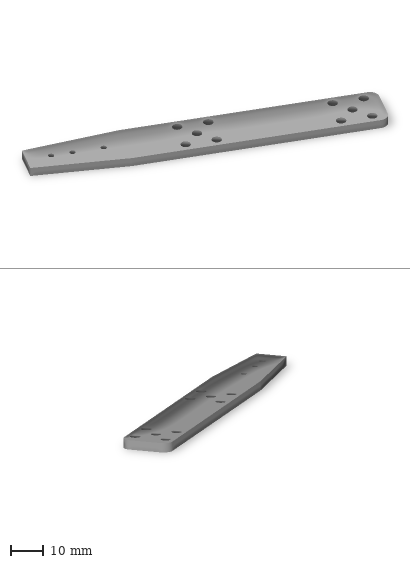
import cadquery as cq

length = 115.0
width = 16.0
thickness = 3.0
corner_radius = 3.0

taper_length = 32.0
tip_width = 10.0

pattern_hole_diameter = 3.2
pattern_pitch = 10.0
pattern_distances_from_square_end = [10.0, 60.0]

small_hole_diameter = 2.0
small_hole_distances_from_tip = [8.0, 15.0, 25.0]

square_end_y = length / 2
tip_y = -length / 2
taper_start_y = tip_y + taper_length


def make_bar():
    outline = [
        (-tip_width / 2, tip_y),
        (tip_width / 2, tip_y),
        (width / 2, taper_start_y),
        (width / 2, square_end_y),
        (-width / 2, square_end_y),
        (-width / 2, taper_start_y),
    ]
    bar = cq.Workplane("XY").polyline(outline).close().extrude(thickness)
    return bar.faces(">Y").edges("|Z").fillet(corner_radius)


def drill(body, centres, diameter):
    holes = cq.Workplane("XY").pushPoints(centres).circle(diameter / 2).extrude(thickness)
    return body.cut(holes)


def five_hole_pattern(centre_y):
    offset = pattern_pitch / 2
    corners = [(x, centre_y + y) for x in (-offset, offset) for y in (-offset, offset)]
    return [(0, centre_y)] + corners


result = make_bar()
for distance in pattern_distances_from_square_end:
    result = drill(result, five_hole_pattern(square_end_y - distance), pattern_hole_diameter)

small_hole_centres = [(0, tip_y + distance) for distance in small_hole_distances_from_tip]
result = drill(result, small_hole_centres, small_hole_diameter)